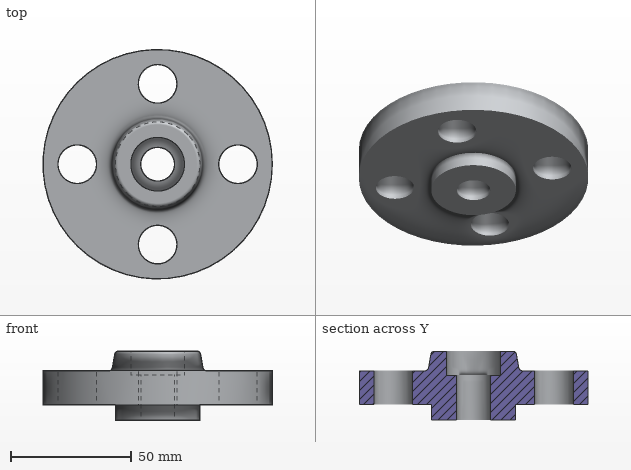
import cadquery as cq
import math

flange_diameter = 95.25
flange_thickness = 14.2

face_diameter = 35.1
face_height = 6.4

overall_height = 28.7
hub_base_diameter = 38.1
hub_taper_angle = 10.0
hub_fillet_radius = 1.5

bore_diameter = 13.9
socket_diameter = 22.3
socket_depth = 10.0

bolt_hole_count = 4
bolt_hole_diameter = 15.9
bolt_circle_diameter = 66.7

flange_top = face_height + flange_thickness
hub_height = overall_height - flange_top
hub_top_diameter = hub_base_diameter - 2 * hub_height * math.tan(math.radians(hub_taper_angle))


def make_body():
    """Revolve the raised face, plate and sharp-edged hub as one solid about Z."""
    profile = (
        cq.Workplane("XZ")
        .lineTo(face_diameter / 2, 0)
        .lineTo(face_diameter / 2, face_height)
        .lineTo(flange_diameter / 2, face_height)
        .lineTo(flange_diameter / 2, flange_top)
        .lineTo(hub_base_diameter / 2, flange_top)
        .lineTo(hub_top_diameter / 2, overall_height)
        .lineTo(0, overall_height)
        .close()
    )
    return profile.revolve(360, (0, 0, 0), (0, 1, 0))


def round_hub(body):
    """Round the top rim of the hub and blend its root into the plate."""
    hub_side = body.faces("%CONE")
    return hub_side.edges("%CIRCLE").fillet(hub_fillet_radius)


def cut_bore_and_socket(body):
    """Cut the through bore and the wider pipe socket open at the hub end."""
    bored = body.faces(">Z").workplane().hole(bore_diameter)
    return bored.faces(">Z").workplane().hole(socket_diameter, socket_depth)


def cut_bolt_holes(body):
    """Cut the evenly spaced bolt holes through the plate."""
    holes = (
        cq.Workplane("XY")
        .workplane(offset=face_height)
        .polarArray(bolt_circle_diameter / 2, 0, 360, bolt_hole_count)
        .circle(bolt_hole_diameter / 2)
        .extrude(flange_thickness)
    )
    return body.cut(holes)


result = cut_bolt_holes(cut_bore_and_socket(round_hub(make_body())))